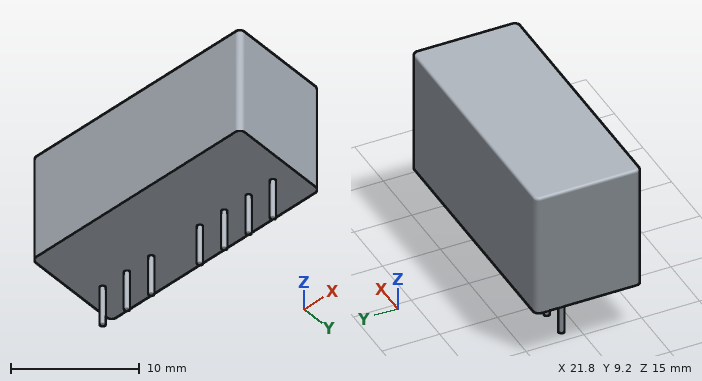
import cadquery as cq

body_length = 21.8
body_width = 9.2
total_height = 15.0
pin_length = 4.0
body_height = total_height - pin_length
corner_radius = 0.5
top_edge_radius = 0.25

pin_diameter = 0.5
pin_tip_radius = 0.1
pin_row_span = 17.79
first_pin_x = -8.92
pin_row_y = 1.42
pin_slots = (0, 1, 2, 4, 5, 6, 7)
pin_pitch = pin_row_span / pin_slots[-1]
pin_overlap = 0.22


def make_body():
    """Rectangular case standing on Z = 0 with rounded upright and top edges."""
    body = cq.Workplane("XY").box(body_length, body_width, body_height, centered=(True, True, False))
    body = body.edges("|Z").fillet(corner_radius)
    return body.faces(">Z").edges().fillet(top_edge_radius)


def make_pin(x):
    """Round pin below the case with a rounded tip edge."""
    pin = cq.Workplane("XY", origin=(x, pin_row_y, -pin_length))
    pin = pin.circle(pin_diameter / 2).extrude(pin_length + pin_overlap)
    return pin.faces("<Z").edges().fillet(pin_tip_radius)


result = make_body()
for slot in pin_slots:
    result = result.union(make_pin(first_pin_x + slot * pin_pitch))